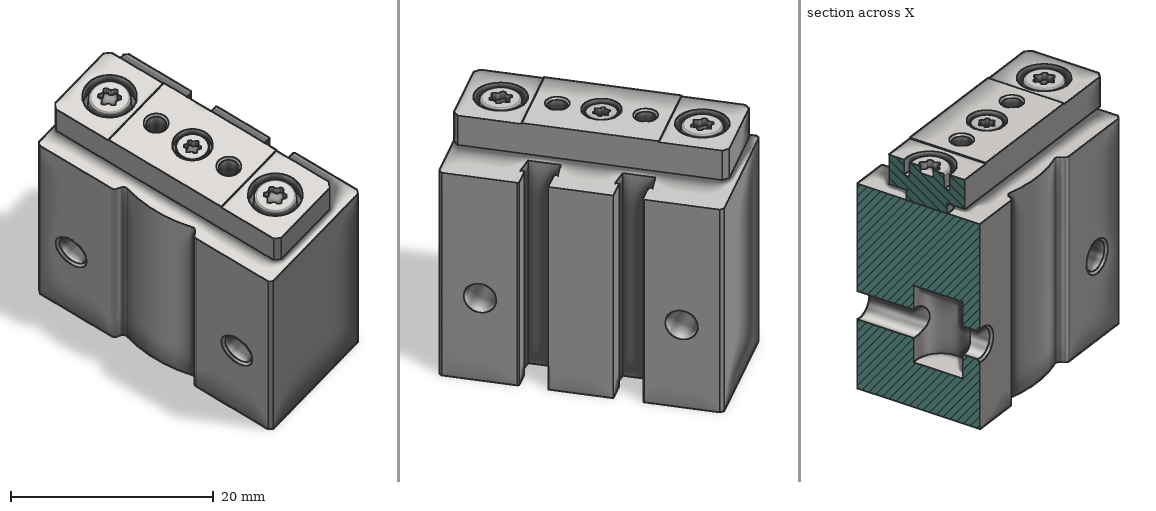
import cadquery as cq
import math

housing_width = 29.0
housing_depth = 14.5
housing_height = 23.4
housing_corner = 0.35
front_y = -housing_depth / 2
back_y = housing_depth / 2

mount_hole_diameter = 3.3
mount_chamfer = 0.25
mount_hole_z = 9.5

recess_mouth_half = 4.95
recess_valley_half = 4.38
recess_valley_depth = 1.02
recess_bulge_depth = 0.35
recess_fillet = 0.5

chamber_diameter = 5.8
chamber_height = 8.7
chamber_y = -2.32

slot_inner_x = 3.3
slot_outer_x = 6.3
slot_lip_depth = 2.32
slot_undercut_inner_x = 2.9
slot_undercut_outer_x = 6.73
slot_floor_depth = 4.35
slot_taper = 0.25
slot_lip_chamfer = 0.15

plate_length = 28.0
plate_depth = 9.0
plate_corner = 0.55
plate_top_z = 28.0
plate_gap = 1.1
pad_length = 13.98
pad_height = 0.12
axis_y = -1.0
plate_bottom_z = housing_height + plate_gap
shoulder_z = plate_top_z - pad_height

rod_spacing = 20.5
guide_rod_diameter = 5.0
guide_rod_bevel_height = 0.2
guide_rod_bevel_width = 0.12
piston_rod_diameter = 3.0

thread_spacing = 9.0
thread_diameter = 2.0
thread_mouth_diameter = 2.46

screw_bore_diameter = 5.4
screw_bore_depth = 1.75
screw_base_diameter = 4.35
screw_top_diameter = 4.15
screw_fillet = 0.2
screw_recess = 0.1
screw_socket_tip = 2.32
screw_socket_root = 1.75
screw_socket_depth = 0.8

piston_bore_diameter = 4.0
piston_bore_depth = 0.87
piston_screw_diameter = 3.3
piston_screw_bevel = 0.05
piston_screw_recess = 0.3
piston_socket_tip = 1.75
piston_socket_root = 1.3
piston_socket_depth = 0.8

rod_x_positions = (-rod_spacing / 2, rod_spacing / 2)
socket_lobes = 6
points_per_lobe = 4


def cylinder(x, bottom_z, diameter, height):
    """Upright cylinder on the plate's centre line."""
    return cq.Workplane("XY", origin=(x, axis_y, bottom_z)).circle(diameter / 2).extrude(height)


def cone(x, bottom_z, bottom_diameter, top_diameter, height):
    """Upright truncated cone on the plate's centre line."""
    return (
        cq.Workplane("XY", origin=(x, axis_y, bottom_z))
        .circle(bottom_diameter / 2)
        .workplane(offset=height)
        .circle(top_diameter / 2)
        .loft()
    )


def front_recess():
    """Full-height recess whose floor bulges back toward the front face."""
    valley_y = front_y + recess_valley_depth
    return (
        cq.Workplane("XY")
        .moveTo(-recess_mouth_half, front_y)
        .lineTo(-recess_valley_half, valley_y)
        .threePointArc((0, front_y + recess_bulge_depth), (recess_valley_half, valley_y))
        .lineTo(recess_mouth_half, front_y)
        .close()
        .extrude(housing_height)
    )


def sensor_slot():
    """Full-height undercut slot on the +X side, with bevelled edges on its outer lip."""
    lip_y = back_y - slot_lip_depth
    floor_y = back_y - slot_floor_depth
    return (
        cq.Workplane("XY")
        .moveTo(slot_inner_x, back_y)
        .lineTo(slot_inner_x, lip_y)
        .lineTo(slot_undercut_inner_x, lip_y)
        .lineTo(slot_undercut_inner_x + slot_taper, floor_y)
        .lineTo(slot_undercut_outer_x - slot_taper, floor_y)
        .lineTo(slot_undercut_outer_x, lip_y)
        .lineTo(slot_outer_x + slot_lip_chamfer, lip_y)
        .lineTo(slot_outer_x, lip_y + slot_lip_chamfer)
        .lineTo(slot_outer_x, back_y - slot_lip_chamfer)
        .lineTo(slot_outer_x + slot_lip_chamfer, back_y)
        .close()
        .extrude(housing_height)
    )


def mount_hole(x):
    """Front-to-back hole with a conical mouth in the front face."""
    radius = mount_hole_diameter / 2
    profile = (
        cq.Workplane("XY")
        .moveTo(x, front_y)
        .lineTo(x + radius + mount_chamfer, front_y)
        .lineTo(x + radius, front_y + mount_chamfer)
        .lineTo(x + radius, back_y)
        .lineTo(x, back_y)
        .close()
    )
    return profile.revolve(360, (x, 0, 0), (x, 1, 0)).translate((0, 0, mount_hole_z))


def chamber(x):
    """Upright round chamber inside the housing, centred on the height of the mounting hole."""
    floor_center = (x, chamber_y, mount_hole_z - chamber_height / 2)
    return cq.Workplane("XY", origin=floor_center).circle(chamber_diameter / 2).extrude(chamber_height)


def make_housing():
    body = cq.Workplane("XY").box(
        housing_width, housing_depth, housing_height, centered=(True, True, False)
    )
    body = body.edges("|Z").chamfer(housing_corner)
    body = body.cut(front_recess())

    margin = recess_fillet / 2
    recess_edges = cq.selectors.BoxSelector(
        (-recess_mouth_half - margin, front_y - margin, 0),
        (recess_mouth_half + margin, front_y + recess_valley_depth + margin, housing_height),
    )
    body = body.edges("|Z").edges(recess_edges).fillet(recess_fillet)

    slot = sensor_slot()
    body = body.cut(slot).cut(slot.mirror("YZ"))
    for x in rod_x_positions:
        body = body.cut(mount_hole(x))
        body = body.cut(chamber(x))
    return body


def star_socket(x, top_z, tip_diameter, root_diameter, depth):
    """Six-lobed drive socket of alternating convex and concave arcs."""
    tip_radius = tip_diameter / 2
    root_radius = root_diameter / 2
    middle_radius = (tip_radius + root_radius) / 2
    step_angle = 2 * math.pi / (socket_lobes * points_per_lobe)

    def polar(radius, steps):
        angle = math.pi / 2 + steps * step_angle
        return (radius * math.cos(angle), radius * math.sin(angle))

    outline = cq.Workplane("XY", origin=(x, axis_y, top_z)).moveTo(*polar(middle_radius, -1))
    for lobe in range(socket_lobes):
        step = points_per_lobe * lobe
        outline = outline.threePointArc(polar(tip_radius, step), polar(middle_radius, step + 1))
        outline = outline.threePointArc(polar(root_radius, step + 2), polar(middle_radius, step + 3))
    return outline.close().extrude(-depth)


def plate_blank():
    """Plate with bevelled corners and a slightly raised middle pad."""
    blank = (
        cq.Workplane("XY", origin=(0, axis_y, plate_bottom_z))
        .box(plate_length, plate_depth, shoulder_z - plate_bottom_z, centered=(True, True, False))
        .edges("|Z")
        .chamfer(plate_corner)
    )
    pad = cq.Workplane("XY", origin=(0, axis_y, shoulder_z)).box(
        pad_length, plate_depth, pad_height, centered=(True, True, False)
    )
    return blank.union(pad)


def thread_hole(x):
    """Through hole with a 45 degree countersunk mouth in the pad."""
    mouth_depth = (thread_mouth_diameter - thread_diameter) / 2
    bore = cylinder(x, plate_bottom_z, thread_diameter, plate_top_z - plate_bottom_z)
    mouth = cone(x, plate_top_z - mouth_depth, thread_diameter, thread_mouth_diameter, mouth_depth)
    return bore.union(mouth)


def guide_rod(x):
    """Guide rod standing on the housing, bevelled just below the plate."""
    bevel_z = plate_bottom_z - guide_rod_bevel_height
    neck_diameter = guide_rod_diameter - 2 * guide_rod_bevel_width
    shaft = cylinder(x, housing_height, guide_rod_diameter, bevel_z - housing_height)
    bevel = cone(x, bevel_z, guide_rod_diameter, neck_diameter, guide_rod_bevel_height)
    return shaft.union(bevel)


def add_guide_screw(plate, x):
    """Counterbore holding a tapered, rounded screw head with a star socket."""
    floor_z = shoulder_z - screw_bore_depth
    head_top_z = shoulder_z - screw_recess
    head = cone(x, floor_z, screw_base_diameter, screw_top_diameter, head_top_z - floor_z)
    head = head.faces(">Z").edges().fillet(screw_fillet)
    plate = plate.cut(cylinder(x, floor_z, screw_bore_diameter, screw_bore_depth))
    plate = plate.union(head)
    return plate.cut(
        star_socket(x, head_top_z, screw_socket_tip, screw_socket_root, screw_socket_depth)
    )


def add_piston_screw(plate):
    """Central counterbore with a sunken screw head and a star socket."""
    floor_z = plate_top_z - piston_bore_depth
    head_top_z = plate_top_z - piston_screw_recess
    head = cylinder(0, floor_z, piston_screw_diameter, head_top_z - floor_z)
    head = head.faces(">Z").edges().chamfer(piston_screw_bevel)
    plate = plate.cut(cylinder(0, floor_z, piston_bore_diameter, piston_bore_depth))
    plate = plate.union(head)
    return plate.cut(
        star_socket(0, head_top_z, piston_socket_tip, piston_socket_root, piston_socket_depth)
    )


def make_yoke():
    """Yoke plate in one piece with its rods and screw heads."""
    plate = plate_blank()
    for x in (-thread_spacing / 2, thread_spacing / 2):
        plate = plate.cut(thread_hole(x))
    for x in rod_x_positions:
        plate = plate.union(guide_rod(x))
        plate = add_guide_screw(plate, x)
    plate = plate.union(cylinder(0, housing_height, piston_rod_diameter, plate_gap))
    return add_piston_screw(plate)


housing = make_housing()
yoke = make_yoke()
result = cq.Compound.makeCompound([housing.val(), yoke.val()])